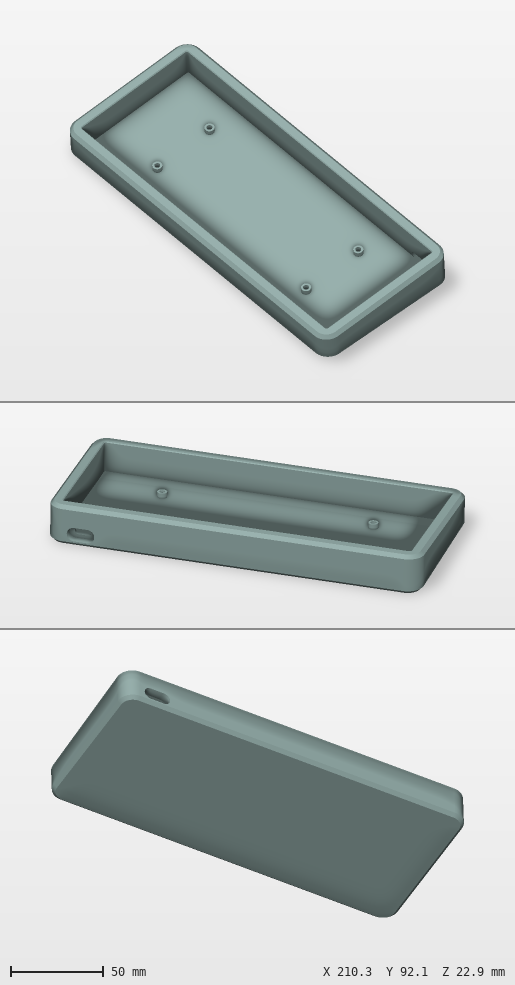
import cadquery as cq
import math


WIDTH = 210.26
LENGTH = 91.2
HEIGHT = 22.92
TILT = 3.0
CORNER_RADIUS = 9.0
EDGE_CHAMFER = 2.0

WALL = 7.0
CAVITY_DEPTH = 18.0
CAVITY_CORNER_RADIUS = 1.0
LIP_CHAMFER = 0.5
FLOOR_THICKNESS = 1.07

KEY_PITCH = 19.05
STANDOFF_SPACING_X = 6.25 * KEY_PITCH
STANDOFF_SPACING_Y = 2 * KEY_PITCH
STANDOFF_DIAMETER = 5.5
STANDOFF_HEIGHT = 3.0
STANDOFF_ROOT = 0.2
SCREW_HOLE_DIAMETER = 3.2
SCREW_HOLE_DEPTH = 4.0

PORT_X = 4.5 * KEY_PITCH
PORT_WIDTH = 9.2
PORT_HEIGHT = 3.6
PLUG_WIDTH = 15.5
PLUG_HEIGHT = 8.0
PORT_WALL = 2.0

CUT_OVERRUN = 1.0

RIM_LEVEL = HEIGHT - (LENGTH / 2 - EDGE_CHAMFER) * math.sin(math.radians(TILT))
FLOOR = -CAVITY_DEPTH
CAVITY_WIDTH = WIDTH - 2 * WALL
CAVITY_LENGTH = LENGTH - 2 * WALL


def tilted(shape):
    """Turn a shape modelled square to the rim into its sloping position."""
    return shape.rotate((0, 0, 0), (1, 0, 0), TILT).translate((0, 0, RIM_LEVEL))


def space_above(level):
    """Block larger than the case that fills everything above a level plane."""
    return (
        cq.Workplane("XY", origin=(0, 0, level))
        .rect(2 * WIDTH, 2 * LENGTH)
        .extrude(2 * HEIGHT)
    )


def rounded_rectangle(width, length, radius):
    return cq.Sketch().rect(width, length).vertices().fillet(radius)


def make_shell():
    outline = rounded_rectangle(WIDTH, LENGTH, CORNER_RADIUS)
    blank = (
        cq.Workplane("XY")
        .placeSketch(outline)
        .extrude(-2 * HEIGHT)
        .faces(">Z")
        .chamfer(EDGE_CHAMFER)
    )
    return tilted(blank).intersect(space_above(0)).faces("<Z").chamfer(EDGE_CHAMFER)


def make_cavity():
    """Sloping pocket with a chamfered mouth, levelled off where the underside comes close."""
    outline = rounded_rectangle(CAVITY_WIDTH, CAVITY_LENGTH, CAVITY_CORNER_RADIUS)
    mouth = rounded_rectangle(
        CAVITY_WIDTH + 2 * LIP_CHAMFER,
        CAVITY_LENGTH + 2 * LIP_CHAMFER,
        CAVITY_CORNER_RADIUS + LIP_CHAMFER,
    )
    pocket = cq.Workplane("XY").placeSketch(outline).extrude(-CAVITY_DEPTH)
    lip = cq.Workplane("XY").placeSketch(mouth).extrude(-LIP_CHAMFER, taper=45)
    return tilted(pocket.union(lip)).intersect(space_above(FLOOR_THICKNESS))


def standoff_cylinders(diameter, bottom, top):
    return tilted(
        cq.Workplane("XY", origin=(0, 0, bottom))
        .rarray(STANDOFF_SPACING_X, STANDOFF_SPACING_Y, 2, 2)
        .circle(diameter / 2)
        .extrude(top - bottom)
    )


def add_standoffs(body):
    top = FLOOR + STANDOFF_HEIGHT
    posts = standoff_cylinders(STANDOFF_DIAMETER, FLOOR - STANDOFF_ROOT, top)
    holes = standoff_cylinders(SCREW_HOLE_DIAMETER, top - SCREW_HOLE_DEPTH, top)
    return body.union(posts).cut(holes)


def back_slot(width, height, start):
    """Round-ended slot centred on the port, running from start out through the back wall."""
    end = LENGTH / 2 + CUT_OVERRUN
    centre_level = FLOOR + PORT_HEIGHT / 2
    return tilted(
        cq.Workplane("XZ", origin=(PORT_X, end, centre_level))
        .slot2D(width, height)
        .extrude(end - start)
    )


def cut_connector_port(body):
    inner_face = CAVITY_LENGTH / 2
    port = back_slot(PORT_WIDTH, PORT_HEIGHT, inner_face - CUT_OVERRUN)
    plug_recess = back_slot(PLUG_WIDTH, PLUG_HEIGHT, inner_face + PORT_WALL)
    return body.cut(port).cut(plug_recess)


case = make_shell().cut(make_cavity())
case = add_standoffs(case)
result = cut_connector_port(case)